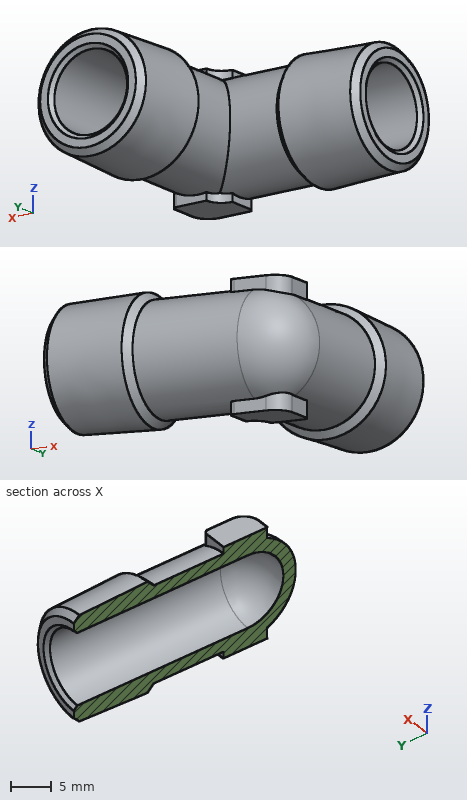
import cadquery as cq

overall_length = 35.5
collar_diameter = 17.0
body_diameter = 15.0
bore_diameter = 11.0

collar_radius = collar_diameter / 2
body_radius = body_diameter / 2
bore_radius = bore_diameter / 2
leg_length = overall_length - collar_radius

mouth_radius = 7.25
mouth_chamfer = 0.9
collar_length = 11.45
collar_back_chamfer = collar_radius - body_radius
bore_chamfer = 0.57

pad_left, pad_right = -3.5, 4.05
pad_front, pad_back = -3.05, 3.75
pad_corner_radius = 0.7
pad_outer_radius = 2.38
pad_notch_radius = 2.27
pad_height = collar_diameter

LEG_DIRECTIONS = [(-1, 0, 0), (0, 1, 0)]


def revolve_leg(profile, direction):
    """Revolve (radius, distance) points around a leg axis starting at the origin."""
    plane = cq.Plane(origin=(0, 0, 0), xDir=(0, 0, 1), normal=direction)
    upright = cq.Workplane("XZ").polyline(profile).close().revolve(360, (0, 0, 0), (0, 1, 0))
    return cq.Workplane(upright.val().moved(cq.Location(plane)))


def outer_leg(direction):
    collar_start = leg_length - collar_length
    profile = [
        (0, 0),
        (body_radius, 0),
        (body_radius, collar_start - collar_back_chamfer),
        (collar_radius, collar_start),
        (mouth_radius + mouth_chamfer, leg_length - mouth_chamfer),
        (mouth_radius, leg_length),
        (0, leg_length),
    ]
    return revolve_leg(profile, direction)


def leg_bore(direction):
    profile = [
        (0, 0),
        (bore_radius, 0),
        (bore_radius, leg_length - bore_chamfer),
        (bore_radius + bore_chamfer, leg_length),
        (0, leg_length),
    ]
    return revolve_leg(profile, direction)


def pad_block():
    """Block through the bend whose ends form the two pads."""
    width = pad_right - pad_left
    depth = pad_back - pad_front
    center = ((pad_left + pad_right) / 2, (pad_front + pad_back) / 2, 0)
    block = cq.Workplane("XY").box(width, depth, pad_height).translate(center)
    block = block.edges("|Z").edges(">(1, 1, 0)").fillet(pad_corner_radius)
    block = block.edges("|Z").edges("<(1, 1, 0)").fillet(pad_corner_radius)
    block = block.edges("|Z").edges(">(1, -1, 0)").fillet(pad_outer_radius)
    notch = (
        cq.Workplane("XY")
        .center(pad_left, pad_back)
        .circle(pad_notch_radius)
        .extrude(pad_height / 2, both=True)
    )
    return block.cut(notch)


body = cq.Workplane("XY").sphere(body_radius)
passage = cq.Workplane("XY").sphere(bore_radius)
for leg_direction in LEG_DIRECTIONS:
    body = body.union(outer_leg(leg_direction))
    passage = passage.union(leg_bore(leg_direction))

result = body.union(pad_block()).cut(passage)